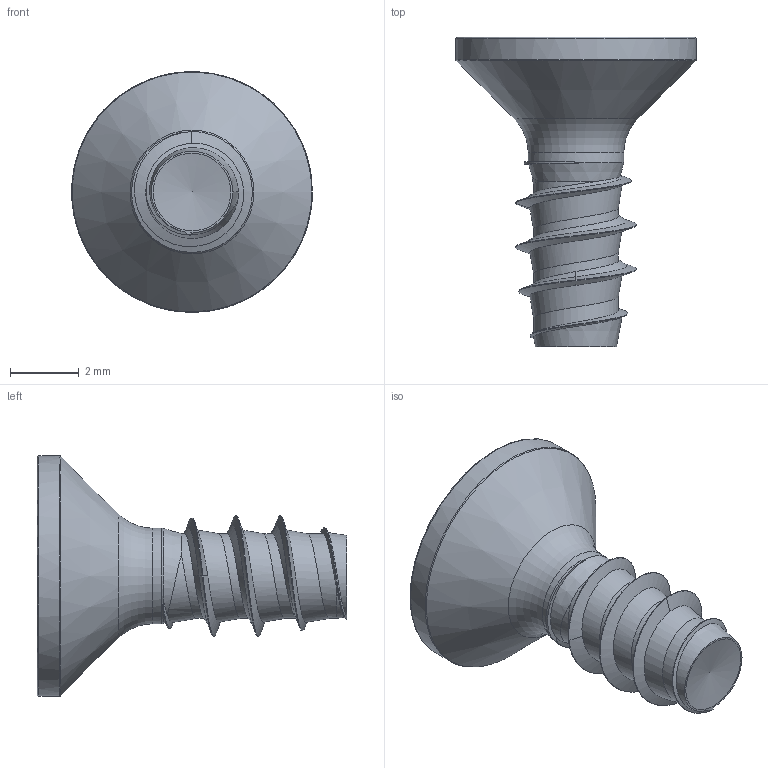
import cadquery as cq
import math


length = 9.0
head_radius = 3.5
head_rim_height = 0.67
head_edge_radius = 0.05
cone_angle = math.radians(45)
neck_radius = 1.39
neck_fillet = 1.4
neck_end = 3.65

core_radius = 1.235
core_start = 4.19
tip_radius = 1.18
tip_taper_slope = 0.185
tip_taper_height = 1.0
tip_recess_radius = 1.13
tip_recess_depth = 0.15

pitch = 1.29
thread_start = 3.52
start_angle = 180.0
run_in_turns = 1.0
full_turns = 1.75
run_out_turns = 1.5
crest_radius = 1.757
run_in_sink = 0.307
run_out_sink = 0.507

crest_half_width = 0.01
tooth_foot_radius = 1.10
fairing_foot_radius = 1.00
TOOTH_SECTION = [
    (-0.345, tooth_foot_radius),
    (-0.10, 1.48),
    (-crest_half_width, crest_radius),
    (crest_half_width, crest_radius),
    (0.225, tooth_foot_radius),
]
FAIRING_SECTION = [
    (0.0, fairing_foot_radius),
    (0.0, 1.363),
    (0.95, 1.207),
    (0.95, fairing_foot_radius),
]
fairing_lead_turns = 0.5

fin_thickness = 0.07
fin_offset = 0.11


def make_body():
    """Turn the head, filleted neck and core in one revolve."""
    fillet_drop = neck_fillet * (1 - math.cos(cone_angle))
    cone_end_radius = neck_radius + fillet_drop
    cone_end = head_rim_height + (head_radius - cone_end_radius) / math.tan(cone_angle)
    fillet_end = cone_end + neck_fillet * math.sin(cone_angle)
    half_angle = cone_angle / 2
    fillet_middle = (
        neck_radius + neck_fillet * (1 - math.cos(half_angle)),
        fillet_end - neck_fillet * math.sin(half_angle),
    )
    profile = (
        cq.Workplane("XZ")
        .moveTo(0, 0)
        .lineTo(head_radius, 0)
        .lineTo(head_radius, head_rim_height)
        .lineTo(cone_end_radius, cone_end)
        .threePointArc(fillet_middle, (neck_radius, fillet_end))
        .lineTo(neck_radius, neck_end)
        .lineTo(core_radius, core_start)
        .lineTo(core_radius, length)
        .lineTo(0, length)
        .close()
    )
    body = profile.revolve(360, (0, 0, 0), (0, 1, 0))
    rim_edges = cq.selectors.RadiusNthSelector(-1)
    return body.edges("%CIRCLE").edges(rim_edges).fillet(head_edge_radius)


def helix_edge(start_radius, end_radius, start_depth, turns, angle):
    """Helix of constant axial pitch whose radius changes evenly along its length."""
    height = turns * pitch
    slope = math.atan2(end_radius - start_radius, height)
    stretch = 1 / math.cos(slope)
    if start_radius == end_radius:
        wire = cq.Wire.makeHelix(pitch, height, start_radius)
    else:
        wire = cq.Wire.makeHelix(
            pitch * stretch, height * stretch, start_radius, angle=math.degrees(slope)
        )
    edge = wire.Edges()[0]
    return edge.rotate(cq.Vector(0, 0, 0), cq.Vector(0, 0, 1), angle).translate(
        cq.Vector(0, 0, start_depth)
    )


def section_face(section, sink, depth, angle):
    """Flat section, sunk towards the axis, in the plane through the axis at the given angle."""
    corners = []
    for offset, radius in section:
        x = (radius - sink) * math.cos(math.radians(angle))
        y = (radius - sink) * math.sin(math.radians(angle))
        corners.append(cq.Vector(x, y, depth + offset))
    return cq.Face.makeFromWires(cq.Wire.makePolygon(corners, close=True))


def helical_solid(section, stretches, depth, angle):
    """Carry a section along a helix; each stretch is (sink at start, sink at end, turns)."""
    faces = [section_face(section, stretches[0][0], depth, angle)]
    for start_sink, end_sink, turns in stretches:
        edges = []
        for offset, radius in section:
            edge = helix_edge(radius - start_sink, radius - end_sink, depth + offset, turns, angle)
            edges.append(edge)
        for edge, next_edge in zip(edges, edges[1:] + edges[:1]):
            faces.append(cq.Face.makeRuledSurface(edge, next_edge))
        depth += turns * pitch
        angle += turns * 360
    faces.append(section_face(section, stretches[-1][1], depth, angle))
    return cq.Workplane(cq.Solid.makeSolid(cq.Shell.makeShell(faces)))


def thread_envelope():
    """Space between the neck and the tip face, to which the thread is trimmed."""
    return (
        cq.Workplane("XY")
        .workplane(offset=neck_end)
        .circle(head_radius)
        .extrude(length - neck_end)
    )


def make_tooth():
    """Thread tooth that rises out of the core, runs at full height and sinks back in."""
    stretches = [
        (run_in_sink, 0, run_in_turns),
        (0, 0, full_turns),
        (0, run_out_sink, run_out_turns),
    ]
    tooth = helical_solid(TOOTH_SECTION, stretches, thread_start, start_angle)
    return thread_envelope().intersect(tooth)


def make_fairing():
    """Gentle slope that leads from the tip side of the tooth down to the core."""
    turns = fairing_lead_turns + run_in_turns + full_turns + run_out_turns
    depth = thread_start - fairing_lead_turns * pitch
    angle = start_angle - fairing_lead_turns * 360
    fairing = helical_solid(FAIRING_SECTION, [(0, 0, turns)], depth, angle)
    return thread_envelope().intersect(fairing)


def make_tip_taper():
    """Ring outside the slightly conical tip, removed from the core and fairing."""
    taper_start = length - tip_taper_height
    taper_start_radius = tip_radius + tip_taper_slope * tip_taper_height
    return (
        cq.Workplane("XZ")
        .moveTo(tip_radius, length)
        .lineTo(taper_start_radius, taper_start)
        .lineTo(head_radius, taper_start)
        .lineTo(head_radius, length)
        .close()
        .revolve(360, (0, 0, 0), (0, 1, 0))
    )


def make_fin():
    """Off-centre disc that stands proud of the neck on the -X side only."""
    return (
        cq.Workplane("XY")
        .workplane(offset=neck_end - fin_thickness / 2)
        .center(-fin_offset, 0)
        .circle(neck_radius)
        .extrude(fin_thickness)
    )


def make_tip_recess():
    """Shallow cone hollowed into the tip face."""
    return (
        cq.Workplane("XZ")
        .moveTo(0, length)
        .lineTo(tip_recess_radius, length)
        .lineTo(0, length - tip_recess_depth)
        .close()
        .revolve(360, (0, 0, 0), (0, 1, 0))
    )


core = make_body().union(make_fairing()).cut(make_tip_taper())
screw = core.union(make_tooth()).union(make_fin()).cut(make_tip_recess())
result = screw.rotate((0, 0, 0), (1, 0, 0), 90)